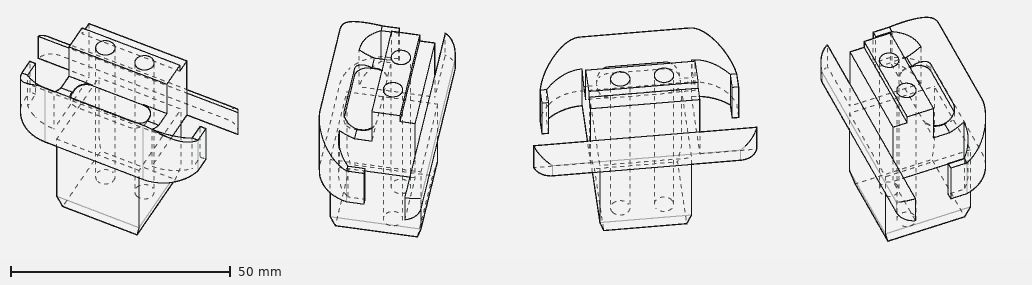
import cadquery as cq

body_height = 18.5
ridge_height = 20.5
ledge_height = 10.5
wing_height = 7.5
plug_length = 23.5
taper_length = 4.0

half_depth = 12.5
front_face_y = -half_depth
back_face_y = half_depth
body_back_y = 9.5
ridge_back_y = 6.0
ridge_front_y = -0.5
scoop_start_y = -4.5
shield_inner_y = -8.0

body_half_width = 12.5
shield_half_width = 22.5
tab_thickness = 1.5
wing_half_width = 25.5

plug_side = 21.0
plug_tip_side = 19.0

scoop_radius = 15.0
wing_round_length = 4.0
hole_diameter = 4.4
hole_spacing = 10.0
hole_y = 3.0
pocket_width = 19.0
pocket_radius = 3.0
pocket_depth = 0.2


def tangent_arc_radius(run, rise):
    """Radius of an arc that starts along the run and ends offset by the rise."""
    return (run ** 2 + rise ** 2) / (2 * rise)


def make_body():
    """Central block with a raised ridge, a low ledge and a concave scoop up to the front edge."""
    profile = (
        cq.Workplane("YZ")
        .moveTo(front_face_y, 0)
        .lineTo(body_back_y, 0)
        .lineTo(body_back_y, body_height)
        .lineTo(ridge_back_y, body_height)
        .lineTo(ridge_back_y, ridge_height)
        .lineTo(ridge_front_y, ridge_height)
        .lineTo(ridge_front_y, ledge_height)
        .lineTo(scoop_start_y, ledge_height)
        .radiusArc((front_face_y, body_height), scoop_radius)
        .close()
    )
    return profile.extrude(body_half_width, both=True)


def make_shield_arm():
    """Curved arm on the +X side, ending in a straight tab and trimmed by the scoop."""
    tab_inner_x = shield_half_width - tab_thickness
    outer_radius = tangent_arc_radius(shield_half_width - body_half_width, scoop_start_y - front_face_y)
    inner_radius = tangent_arc_radius(tab_inner_x - body_half_width, scoop_start_y - shield_inner_y)
    arm = (
        cq.Workplane("XY")
        .moveTo(body_half_width, front_face_y)
        .radiusArc((shield_half_width, scoop_start_y), -outer_radius)
        .lineTo(shield_half_width, ridge_front_y)
        .lineTo(tab_inner_x, ridge_front_y)
        .lineTo(tab_inner_x, scoop_start_y)
        .radiusArc((body_half_width, shield_inner_y), inner_radius)
        .close()
        .extrude(body_height)
    )
    side_profile = (
        cq.Workplane("YZ")
        .moveTo(front_face_y, 0)
        .lineTo(ridge_front_y, 0)
        .lineTo(ridge_front_y, ledge_height)
        .lineTo(scoop_start_y, ledge_height)
        .radiusArc((front_face_y, body_height), scoop_radius)
        .close()
        .extrude(shield_half_width)
    )
    return arm.intersect(side_profile)


def make_wings():
    """Low bar along the back, its ends and top curving in from the back face by the same arc."""
    wing_depth = back_face_y - body_back_y
    end_x = wing_half_width - wing_round_length
    round_radius = tangent_arc_radius(wing_round_length, wing_depth)
    plan = (
        cq.Workplane("XY")
        .moveTo(-wing_half_width, body_back_y)
        .lineTo(wing_half_width, body_back_y)
        .radiusArc((end_x, back_face_y), -round_radius)
        .lineTo(-end_x, back_face_y)
        .radiusArc((-wing_half_width, body_back_y), -round_radius)
        .close()
        .extrude(wing_height)
    )
    side_profile = (
        cq.Workplane("YZ")
        .moveTo(body_back_y, 0)
        .lineTo(back_face_y, 0)
        .lineTo(back_face_y, wing_height - wing_round_length)
        .radiusArc((body_back_y, wing_height), -round_radius)
        .close()
        .extrude(wing_half_width, both=True)
    )
    return plan.intersect(side_profile)


def make_plug():
    """Square plug below the collar with a tapered tip."""
    straight_length = plug_length - taper_length
    straight = cq.Workplane("XY").rect(plug_side, plug_side).extrude(-straight_length)
    tip = (
        cq.Workplane("XY", origin=(0, 0, -straight_length))
        .rect(plug_side, plug_side)
        .workplane(offset=-taper_length)
        .rect(plug_tip_side, plug_tip_side)
        .loft(ruled=True)
    )
    return straight.union(tip)


def make_holes():
    """Pair of vertical holes running from the ridge top through the plug."""
    return (
        cq.Workplane("XY", origin=(0, hole_y, -plug_length))
        .pushPoints([(-hole_spacing / 2, 0), (hole_spacing / 2, 0)])
        .circle(hole_diameter / 2)
        .extrude(plug_length + ridge_height)
    )


def make_pocket():
    """Shallow round-cornered pocket in the ledge, cutting into the scoop."""
    pocket_length = ridge_front_y - shield_inner_y
    pocket_y = (ridge_front_y + shield_inner_y) / 2
    return (
        cq.Workplane("XY", origin=(0, pocket_y, ledge_height - pocket_depth))
        .rect(pocket_width, pocket_length)
        .extrude(body_height - ledge_height)
        .edges("|Z")
        .fillet(pocket_radius)
    )


arm = make_shield_arm()
result = make_body().union(arm).union(arm.mirror("YZ")).union(make_wings()).union(make_plug())
result = result.cut(make_holes()).cut(make_pocket())